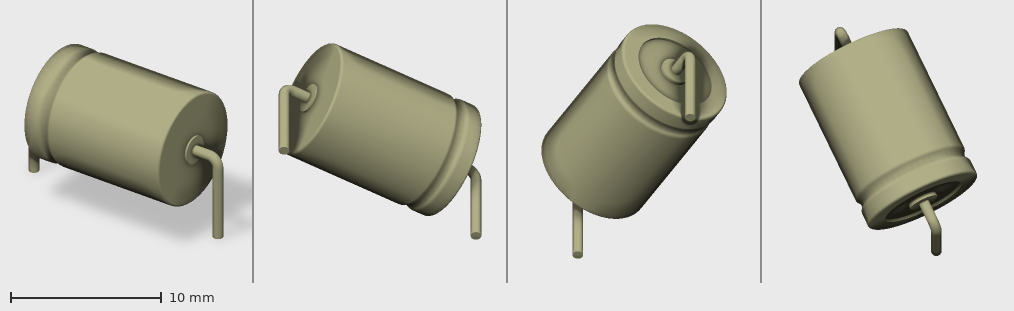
import cadquery as cq
import math

CAN_DIAMETER = 8.0
CAN_LENGTH = 10.99
CAN_EDGE_RADIUS = 0.17

GROOVE_X = -3.91
GROOVE_DEPTH = 0.2
GROOVE_RADIUS = 0.5
GROOVE_LIP_RADIUS = 0.3

RECESS_DIAMETER = 5.6
RECESS_DEPTH = 0.2
SEAL_DIAMETER = 2.0
LEFT_SEAL_HEIGHT = 0.06
RIGHT_SEAL_HEIGHT = 0.14

LEAD_DIAMETER = 0.7
LEAD_SPAN = 15.7
BEND_RADIUS = LEAD_DIAMETER
OVERALL_HEIGHT = 10.0

can_radius = CAN_DIAMETER / 2
can_half_length = CAN_LENGTH / 2
lead_pitch = LEAD_SPAN - LEAD_DIAMETER
lead_tip_z = can_radius - OVERALL_HEIGHT
lead_root = can_half_length - RECESS_DEPTH


def make_can():
    """Revolve the can profile: rounded ends and a groove blended by rounded lips."""
    blend_radius = GROOVE_RADIUS + GROOVE_LIP_RADIUS
    angle = math.acos(1 - GROOVE_DEPTH / blend_radius)
    lip_offset = blend_radius * math.sin(angle)
    blend_offset = GROOVE_RADIUS * math.sin(angle)
    floor_r = can_radius - GROOVE_DEPTH
    blend_r = can_radius - GROOVE_LIP_RADIUS * (1 - math.cos(angle))
    shoulder_r = can_radius - CAN_EDGE_RADIUS
    shoulder_x = can_half_length - CAN_EDGE_RADIUS
    lip_mid_offset = lip_offset - GROOVE_LIP_RADIUS * math.sin(angle / 2)
    lip_mid_r = can_radius - GROOVE_LIP_RADIUS * (1 - math.cos(angle / 2))
    edge_mid = CAN_EDGE_RADIUS * math.sqrt(0.5)

    profile = (
        cq.Workplane("XY")
        .moveTo(-can_half_length, 0)
        .lineTo(-can_half_length, shoulder_r)
        .threePointArc((-shoulder_x - edge_mid, shoulder_r + edge_mid), (-shoulder_x, can_radius))
        .lineTo(GROOVE_X - lip_offset, can_radius)
        .threePointArc((GROOVE_X - lip_mid_offset, lip_mid_r), (GROOVE_X - blend_offset, blend_r))
        .threePointArc((GROOVE_X, floor_r), (GROOVE_X + blend_offset, blend_r))
        .threePointArc((GROOVE_X + lip_mid_offset, lip_mid_r), (GROOVE_X + lip_offset, can_radius))
        .lineTo(shoulder_x, can_radius)
        .threePointArc((shoulder_x + edge_mid, shoulder_r + edge_mid), (can_half_length, shoulder_r))
        .lineTo(can_half_length, 0)
        .close()
    )
    return profile.revolve(360, (0, 0, 0), (1, 0, 0))


def disc(diameter, x_start, x_end):
    """Cylinder on the can axis between two X positions."""
    return cq.Workplane("YZ", origin=(x_start, 0, 0)).circle(diameter / 2).extrude(x_end - x_start)


def make_lead(side):
    """Lead leaving the can towards side (-1 or +1), bent down to the tip."""
    straight_end = lead_pitch / 2 - BEND_RADIUS
    bend_cos = BEND_RADIUS * math.sqrt(0.5)
    path = (
        cq.Workplane("XZ")
        .moveTo(side * lead_root, 0)
        .lineTo(side * straight_end, 0)
        .threePointArc(
            (side * (straight_end + bend_cos), bend_cos - BEND_RADIUS),
            (side * lead_pitch / 2, -BEND_RADIUS),
        )
        .lineTo(side * lead_pitch / 2, lead_tip_z)
    )
    section = cq.Workplane("YZ", origin=(side * lead_root, 0, 0))
    return section.circle(LEAD_DIAMETER / 2).sweep(path)


recess_floor_x = -can_half_length + RECESS_DEPTH
recess = disc(RECESS_DIAMETER, -can_half_length, recess_floor_x)
seals = disc(SEAL_DIAMETER, -can_half_length - LEFT_SEAL_HEIGHT, can_half_length + RIGHT_SEAL_HEIGHT)

result = make_can().cut(recess).union(seals)
for lead_side in (-1, 1):
    result = result.union(make_lead(lead_side))